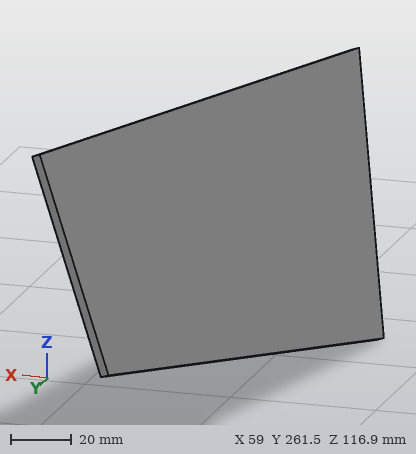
import cadquery as cq

length = 261.5
height = 116.9
thickness = 3.0
lean_along_y = 0.071
lean_along_z = 0.362

face_normal = cq.Vector(1, -lean_along_y, -lean_along_z).normalized()
thickening = face_normal * thickness

bottom_corner = (55.2, -thickening.z)
front_corner = (-thickening.y, 82.4)
top_corner = (255.5, height)
back_corner = (length, 45.2)


def on_face(corner):
    """Place a (Y, Z) corner on the tilted face, with X = 0 at the bottom corner."""
    y, z = corner
    x = lean_along_y * (y - bottom_corner[0]) + lean_along_z * (z - bottom_corner[1])
    return cq.Vector(x, y, z)


corners = [on_face(c) for c in (bottom_corner, front_corner, top_corner, back_corner)]
outline = cq.Wire.makePolygon(corners, close=True)
plate = cq.Solid.extrudeLinear(outline, [], thickening)

result = cq.Workplane("XY").newObject([plate])